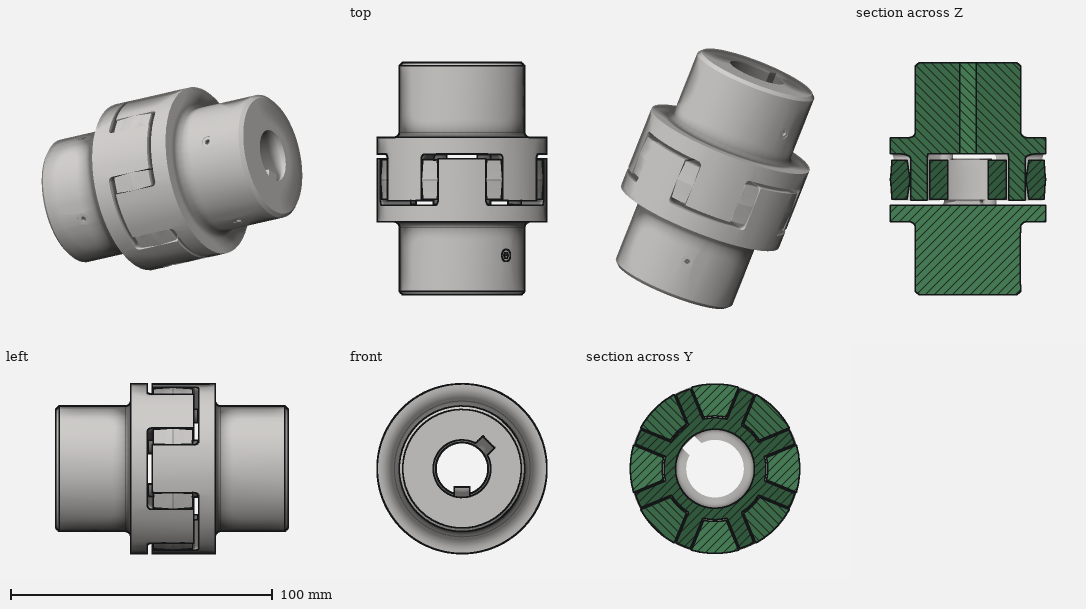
import cadquery as cq
import math


overall_length = 88.9
outer_diameter = 65.0
outer_radius = outer_diameter / 2
sleeve_radius = 24.0
collar_fillet = 2.0
end_chamfer = 1.3
flange_inner = 9.8
flange_outer = 16.2
jaw_tip_gap = 1.8
jaw_tip = jaw_tip_gap - flange_inner
jaw_inner_radius = 20.1
jaw_root_fillet = 1.7

jaws_per_hub = 4
jaw_pitch = 360 / jaws_per_hub
leg_count = 2 * jaws_per_hub
leg_pitch = 360 / leg_count
first_leg_angle = leg_pitch / 2

leg_width = 6.9
leg_crown = 0.45
spider_thickness = 15.0
spider_radius = 32.45
spider_ring_radius = 19.6
spider_hole_radius = 15.0
pip_radius = 2.6
pip_circle_radius = 21.8
pip_clearance = 0.3

front_length = 44.1
rear_length = overall_length - front_length
front_bore_radius = 11.0
rear_bore_radius = 10.0
front_key_angle = 45
rear_key_angle = -90
front_keyway_width = 6.4
front_keyway_reach = 14.4

key_width = 6.05
key_height = 6.05
key_inner_reach = 6.9
key_outer_reach = key_inner_reach + key_height

screw_end_distance = 15.1
screw_radius = 2.3
screw_recess_depth = 0.2
socket_width = 2.0
socket_depth = 1.8
screw_angle_step = -90


def turned(body, angle):
    """Turn a body about the local Z axis."""
    return body.rotate((0, 0, 0), (0, 0, 1), angle)


def hub_blank(length):
    """Jaw band, flange and sleeve turned from one half profile with a collar fillet and an end chamfer."""
    profile = (
        cq.Workplane("XZ")
        .moveTo(0, jaw_tip)
        .lineTo(outer_radius, jaw_tip)
        .lineTo(outer_radius, flange_outer)
        .lineTo(sleeve_radius + collar_fillet, flange_outer)
        .radiusArc((sleeve_radius, flange_outer + collar_fillet), collar_fillet)
        .lineTo(sleeve_radius, length - end_chamfer)
        .lineTo(sleeve_radius - end_chamfer, length)
        .lineTo(0, length)
        .close()
    )
    return profile.revolve(360, (0, 0, 0), (0, 1, 0))


def jaw_gap():
    """Cutter for the gap on +X between two jaws, with flat sides parallel to the spider legs.

    All edges of its floor are rounded; only the two side ones lie inside the hub and become root fillets.
    """
    side_angle = math.radians(leg_pitch / 2)
    jaw_apex = leg_width / 2 / math.sin(side_angle)
    near = jaw_apex * math.sin(math.radians(jaw_pitch / 2))
    far = outer_radius + 2 * jaw_root_fillet
    far_half_width = near + (far - near) * math.tan(side_angle)
    outline = [(near, -near), (far, -far_half_width), (far, far_half_width), (near, near)]
    gap = cq.Workplane("XY").workplane(offset=jaw_tip).polyline(outline).close()
    gap = gap.extrude(flange_inner - jaw_tip)
    return gap.faces(">Z").edges().fillet(jaw_root_fillet)


def with_jaws(blank, first_gap_angle):
    """Hollow the solid band in front of the flange and divide it into jaws."""
    core = cq.Workplane("XY").workplane(offset=jaw_tip).circle(jaw_inner_radius)
    body = blank.cut(core.extrude(flange_inner - jaw_tip))
    for index in range(jaws_per_hub):
        body = body.cut(turned(jaw_gap(), first_gap_angle + index * jaw_pitch))
    return body


def keyway(width, reach, length, angle):
    """Slot cutter from the axis out to the keyway floor, open at both hub ends."""
    slot = cq.Workplane("XY").box(reach, width, length, centered=(False, True, False))
    return turned(slot, angle)


def screw_recess(length, angle):
    """Cutter for a shallow round recess with a hexagon socket in its floor."""
    floor = sleeve_radius - screw_recess_depth
    height = length - screw_end_distance
    plane = cq.Workplane("YZ").workplane(offset=floor).center(0, height)
    recess = plane.circle(screw_radius).extrude(2 * screw_recess_depth)
    corner_diameter = socket_width / math.cos(math.pi / 6)
    socket = plane.polygon(6, corner_diameter).extrude(-socket_depth)
    return turned(recess.union(socket), angle)


def hub(length, first_gap_angle, bore_radius, keyway_width, keyway_reach, key_angle):
    """One complete hub, with its sleeve toward +Z and its jaws toward -Z."""
    body = with_jaws(hub_blank(length), first_gap_angle)
    body = body.cut(cq.Workplane("XY").circle(bore_radius).extrude(length))
    body = body.cut(keyway(keyway_width, keyway_reach, length, key_angle))
    for angle in (key_angle, key_angle + screw_angle_step):
        body = body.cut(screw_recess(length, angle))
    return body


def spider_leg():
    """One leg along +X whose sides slope away from a crest at mid thickness."""
    half_thickness = spider_thickness / 2
    crest = leg_width / 2
    end = crest - leg_crown
    outline = [
        (-end, -half_thickness),
        (end, -half_thickness),
        (crest, 0),
        (end, half_thickness),
        (-end, half_thickness),
        (-crest, 0),
    ]
    return cq.Workplane("YZ").polyline(outline).close().extrude(outer_radius)


def spider():
    """Ring with crowned legs, and spacer pips on alternate legs toward alternate hubs."""
    half_thickness = spider_thickness / 2
    body = cq.Workplane("XY").circle(spider_ring_radius).extrude(half_thickness, both=True)
    for index in range(leg_count):
        body = body.union(turned(spider_leg(), first_leg_angle + index * leg_pitch))

    end_radius = spider_radius - leg_crown
    envelope_points = [
        (0, -half_thickness),
        (end_radius, -half_thickness),
        (spider_radius, 0),
        (end_radius, half_thickness),
        (0, half_thickness),
    ]
    envelope = cq.Workplane("XZ").polyline(envelope_points).close()
    body = body.intersect(envelope.revolve(360, (0, 0, 0), (0, 1, 0)))
    body = body.cut(cq.Workplane("XY").circle(spider_hole_radius).extrude(half_thickness, both=True))

    pip_end = flange_inner - pip_clearance
    for index in range(leg_count):
        reach = pip_end if index % 2 == 0 else -pip_end
        pip = cq.Workplane("XY").center(pip_circle_radius, 0).circle(pip_radius).extrude(reach)
        body = body.union(turned(pip, first_leg_angle + index * leg_pitch))
    return body


def shaft_key():
    """Square key as long as the rear hub bore."""
    bar = cq.Workplane("XY").workplane(offset=flange_inner).center(key_inner_reach, 0)
    bar = bar.rect(key_height, key_width, centered=(False, True)).extrude(rear_length - flange_inner)
    return turned(bar, rear_key_angle)


def facing_front(body):
    """Turn local +Z to -Y, with local Y up."""
    return body.rotate((0, 0, 0), (1, 0, 0), 90)


def facing_rear(body):
    """Turn local +Z to +Y, with local Y up."""
    return turned(facing_front(body), 180)


front_hub = facing_front(
    hub(
        length=front_length,
        first_gap_angle=jaw_pitch / 2,
        bore_radius=front_bore_radius,
        keyway_width=front_keyway_width,
        keyway_reach=front_keyway_reach,
        key_angle=front_key_angle,
    )
)
rear_hub = facing_rear(
    hub(
        length=rear_length,
        first_gap_angle=0,
        bore_radius=rear_bore_radius,
        keyway_width=key_width,
        keyway_reach=key_outer_reach,
        key_angle=rear_key_angle,
    )
)
elastic_spider = facing_front(spider())
key = facing_rear(shaft_key())

result = cq.Compound.makeCompound(
    [front_hub.val(), rear_hub.val(), elastic_spider.val(), key.val()]
)